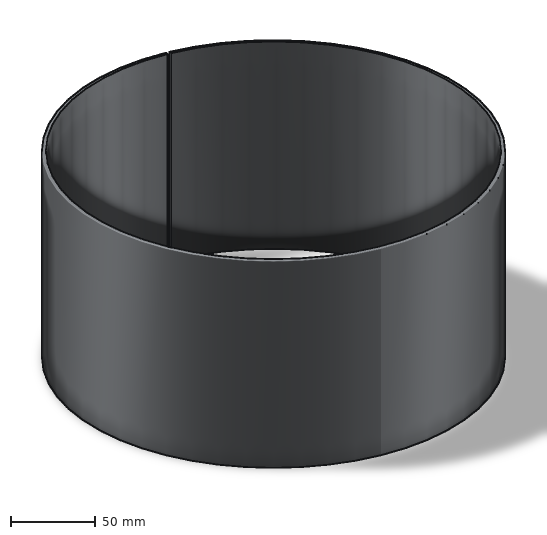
import cadquery as cq

outer_diameter = 275.0
wall_thickness = 2.5
height = 140.0
gap_width = 2.2
rim_rounding = 0.5

outer_radius = outer_diameter / 2
inner_radius = outer_radius - wall_thickness

cylinder = cq.Workplane("XY").circle(outer_radius).extrude(height)
rounded_cylinder = cylinder.edges("%CIRCLE").fillet(rim_rounding)
bore = cq.Workplane("XY").circle(inner_radius).extrude(height)
ring = rounded_cylinder.cut(bore)

gap = cq.Workplane("XY").box(outer_diameter, gap_width, height, centered=(True, False, False))
gap = gap.translate((-outer_diameter / 2, 0, 0))

result = ring.cut(gap)